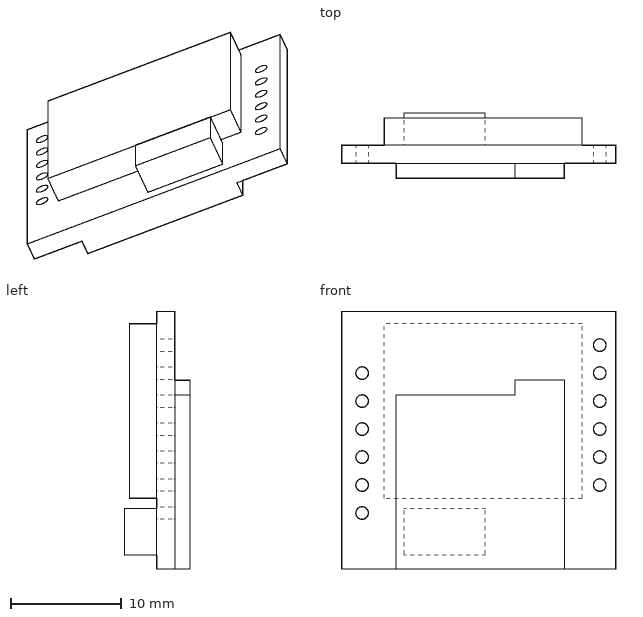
import cadquery as cq

board_width = 24.82
board_height = 23.3
board_thickness = 1.66

socket_left = 4.95
socket_right = 20.15
socket_step_x = 15.69
socket_low_height = 15.74
socket_high_height = 17.08
socket_depth = 1.37

module_left = 3.85
module_right = 21.77
module_bottom = 6.38
module_top = 22.2
module_depth = 2.45

connector_left = 5.63
connector_right = 12.98
connector_bottom = 1.27
connector_top = 5.49
connector_depth = 2.9

hole_diameter = 1.12
hole_pitch = 2.53
holes_per_column = 6
left_column_x = 1.85
left_column_bottom = 5.06
right_column_x = 23.35
right_column_bottom = left_column_bottom + hole_pitch


def back_block(left, right, bottom, top, depth):
    """Rectangular component standing on the back face of the board."""
    size = (right - left, depth, top - bottom)
    return cq.Workplane("XY").box(*size, centered=False).translate((left, board_thickness, bottom))


def card_socket():
    """Plate with a raised step at the right end of its top edge."""
    return (
        cq.Workplane("XZ")
        .moveTo(socket_left, 0)
        .lineTo(socket_right, 0)
        .lineTo(socket_right, socket_high_height)
        .lineTo(socket_step_x, socket_high_height)
        .lineTo(socket_step_x, socket_low_height)
        .lineTo(socket_left, socket_low_height)
        .close()
        .extrude(socket_depth)
    )


def hole_column(x, bottom):
    """Column of cylinders through the board, used to cut the pin holes."""
    centers = [(x, bottom + i * hole_pitch) for i in range(holes_per_column)]
    return cq.Workplane("XZ").pushPoints(centers).circle(hole_diameter / 2).extrude(-board_thickness)


board = cq.Workplane("XY").box(board_width, board_thickness, board_height, centered=False)
board = board.cut(hole_column(left_column_x, left_column_bottom))
board = board.cut(hole_column(right_column_x, right_column_bottom))

module = back_block(module_left, module_right, module_bottom, module_top, module_depth)
connector = back_block(
    connector_left, connector_right, connector_bottom, connector_top, connector_depth
)

result = board.union(card_socket()).union(module).union(connector)